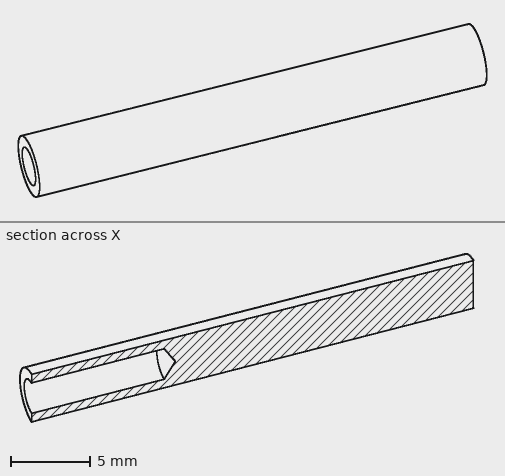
import cadquery as cq
import math

length = 30.0
outer_diameter = 4.0
hole_diameter = 2.5
hole_depth = 9.0
drill_point_angle = 118.0

hole_radius = hole_diameter / 2
drill_point_length = hole_radius / math.tan(math.radians(drill_point_angle / 2))


def make_body():
    """Solid cylinder from Y = 0 to Y = length."""
    return cq.Workplane("XZ").circle(outer_diameter / 2).extrude(-length)


def make_drilled_hole():
    """Hole with a conical bottom, revolved about the Y axis."""
    half_profile = (
        cq.Workplane("XY")
        .lineTo(hole_radius, 0)
        .lineTo(hole_radius, hole_depth)
        .lineTo(0, hole_depth + drill_point_length)
        .close()
    )
    return half_profile.revolve(360, (0, 0, 0), (0, 1, 0))


result = make_body().cut(make_drilled_hole())